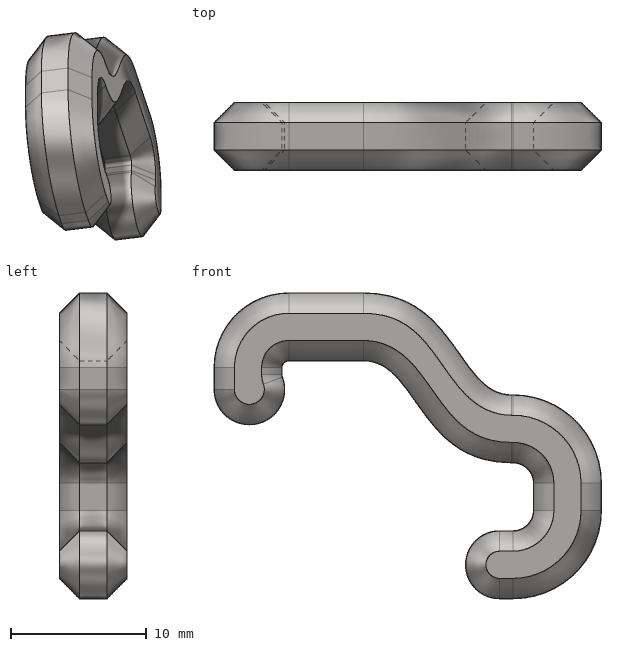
import cadquery as cq
import math

BAR = 5.0
EDGE_CHAMFER = 1.5

LEFT_BEND_INNER = 0.5
LEFT_BEND_OUTER = LEFT_BEND_INNER + BAR
TOP_RUN = 5.5
LEFT_TIP_RADIUS = 2.6
LEFT_TIP_Z = -7.1
TIP_BLEND = 0.5

STEP_DOWN = 7.5
S_BEND_LENGTH = 10.9
WIDE_HANDLE = 6.9
TIGHT_HANDLE = 4.0

RIGHT_BEND_X = 22.0
RIGHT_BEND_INNER = 1.5
RIGHT_BEND_OUTER = RIGHT_BEND_INNER + BAR
RIGHT_RUN = 2.0
LIP_RUN = 1.0
RIGHT_TIP_RADIUS = BAR / 2

S_START_X = LEFT_BEND_OUTER + TOP_RUN
S_END_X = S_START_X + S_BEND_LENGTH
LEFT_BEND_CENTER = (LEFT_BEND_OUTER, -LEFT_BEND_OUTER)
LEFT_TIP_CENTER = (LEFT_TIP_RADIUS, LEFT_TIP_Z)
UPPER_BEND_CENTER = (RIGHT_BEND_X, -STEP_DOWN - RIGHT_BEND_OUTER)
LOWER_BEND_CENTER = (RIGHT_BEND_X, UPPER_BEND_CENTER[1] - RIGHT_RUN)
RIGHT_TIP_CENTER = (
    RIGHT_BEND_X - LIP_RUN,
    LOWER_BEND_CENTER[1] - RIGHT_BEND_INNER - RIGHT_TIP_RADIUS,
)

BLEND_CENTER_X = BAR + TIP_BLEND
BLEND_REACH = LEFT_TIP_RADIUS + TIP_BLEND
BLEND_ANGLE = math.degrees(math.acos((BLEND_CENTER_X - LEFT_TIP_RADIUS) / BLEND_REACH))
BLEND_CENTER = (
    BLEND_CENTER_X,
    LEFT_TIP_Z + BLEND_REACH * math.sin(math.radians(BLEND_ANGLE)),
)


def on_circle(center, radius, angle):
    """Point on a circle at an angle in degrees, measured from +X towards +Z."""
    turn = math.radians(angle)
    return (center[0] + radius * math.cos(turn), center[1] + radius * math.sin(turn))


def arc(sketch, center, radius, start, end):
    """Continue the outline along a circle from one angle to another."""
    middle = on_circle(center, radius, (start + end) / 2)
    return sketch.threePointArc(middle, on_circle(center, radius, end))


def s_curve(sketch, start, end, start_handle, end_handle):
    """Continue with a cubic curve whose two ends both run along X."""
    direction = math.copysign(1, end[0] - start[0])
    return sketch.bezier([
        start,
        (start[0] + direction * start_handle, start[1]),
        (end[0] - direction * end_handle, end[1]),
        end,
    ])


def outer_side(sketch):
    """From the left tip over the top to the underside of the right hook."""
    sketch = sketch.lineTo(0, -LEFT_BEND_OUTER)
    sketch = arc(sketch, LEFT_BEND_CENTER, LEFT_BEND_OUTER, 180, 90)
    sketch = sketch.lineTo(S_START_X, 0)
    sketch = s_curve(sketch, (S_START_X, 0), (S_END_X, -STEP_DOWN), WIDE_HANDLE, TIGHT_HANDLE)
    sketch = sketch.lineTo(RIGHT_BEND_X, -STEP_DOWN)
    sketch = arc(sketch, UPPER_BEND_CENTER, RIGHT_BEND_OUTER, 90, 0)
    sketch = sketch.lineTo(*on_circle(LOWER_BEND_CENTER, RIGHT_BEND_OUTER, 0))
    sketch = arc(sketch, LOWER_BEND_CENTER, RIGHT_BEND_OUTER, 0, -90)
    return sketch.lineTo(*on_circle(RIGHT_TIP_CENTER, RIGHT_TIP_RADIUS, -90))


def inner_side(sketch):
    """From the right tip back along the inside to the left tip."""
    sketch = sketch.lineTo(*on_circle(LOWER_BEND_CENTER, RIGHT_BEND_INNER, -90))
    sketch = arc(sketch, LOWER_BEND_CENTER, RIGHT_BEND_INNER, -90, 0)
    sketch = sketch.lineTo(*on_circle(UPPER_BEND_CENTER, RIGHT_BEND_INNER, 0))
    sketch = arc(sketch, UPPER_BEND_CENTER, RIGHT_BEND_INNER, 0, 90)
    lower_end = (S_END_X, -STEP_DOWN - BAR)
    lower_start = (S_START_X, -BAR)
    sketch = sketch.lineTo(*lower_end)
    sketch = s_curve(sketch, lower_end, lower_start, WIDE_HANDLE, TIGHT_HANDLE)
    sketch = sketch.lineTo(LEFT_BEND_OUTER, -BAR)
    sketch = arc(sketch, LEFT_BEND_CENTER, LEFT_BEND_INNER, 90, 180)
    sketch = sketch.lineTo(BAR, BLEND_CENTER[1])
    return arc(sketch, BLEND_CENTER, TIP_BLEND, 180, 180 + BLEND_ANGLE)


def bar_body():
    """Square-edged bar, centred on Y = 0."""
    back_plane = cq.Workplane("XZ", origin=(0, BAR / 2, 0))
    sketch = back_plane.moveTo(*on_circle(LEFT_TIP_CENTER, LEFT_TIP_RADIUS, 180))
    sketch = outer_side(sketch)
    sketch = arc(sketch, RIGHT_TIP_CENTER, RIGHT_TIP_RADIUS, 270, 90)
    sketch = inner_side(sketch)
    sketch = arc(sketch, LEFT_TIP_CENTER, LEFT_TIP_RADIUS, BLEND_ANGLE, -180)
    return sketch.close().extrude(BAR)


result = bar_body().faces("<Y or >Y").edges().chamfer(EDGE_CHAMFER)